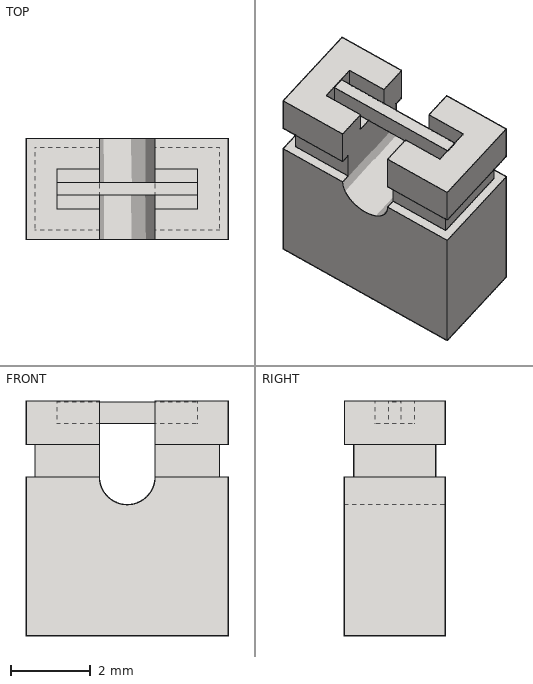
import cadquery as cq

width = 5.08
depth = 2.54
height = 5.9

body_height = 3.995
groove_top = 4.8
groove_depth_x = 0.22
groove_depth_y = 0.235

head_setback = 0.005

slot_width = 1.39

pocket_length = 3.515
pocket_width = 1.005
strip_thickness = 0.31
strip_height = 0.55
strip_recess = 0.025
pocket_depth = strip_recess + strip_height


def box_between(size_x, size_y, bottom, top):
    """Box centred on X and Y between two heights."""
    return cq.Workplane("XY").workplane(offset=bottom).rect(size_x, size_y).extrude(top - bottom)


def make_housing():
    """Body, narrower neck and head stacked in Z."""
    body = box_between(width, depth, 0, body_height)
    neck = box_between(width - 2 * groove_depth_x, depth - 2 * groove_depth_y, body_height, groove_top)
    head = box_between(width, depth - head_setback, groove_top, height)
    head = head.translate((0, head_setback / 2, 0))
    return body.union(neck).union(head)


def make_slot():
    """Slot with its round bottom centred at the top of the body."""
    channel = box_between(slot_width, depth, body_height, height)
    round_bottom = (
        cq.Workplane("XZ")
        .center(0, body_height)
        .circle(slot_width / 2)
        .extrude(depth / 2, both=True)
    )
    return channel.union(round_bottom)


pocket = box_between(pocket_length, pocket_width, height - pocket_depth, height)
strip_top = height - strip_recess
strip = box_between(pocket_length, strip_thickness, strip_top - strip_height, strip_top)

result = make_housing().cut(make_slot()).cut(pocket).union(strip)